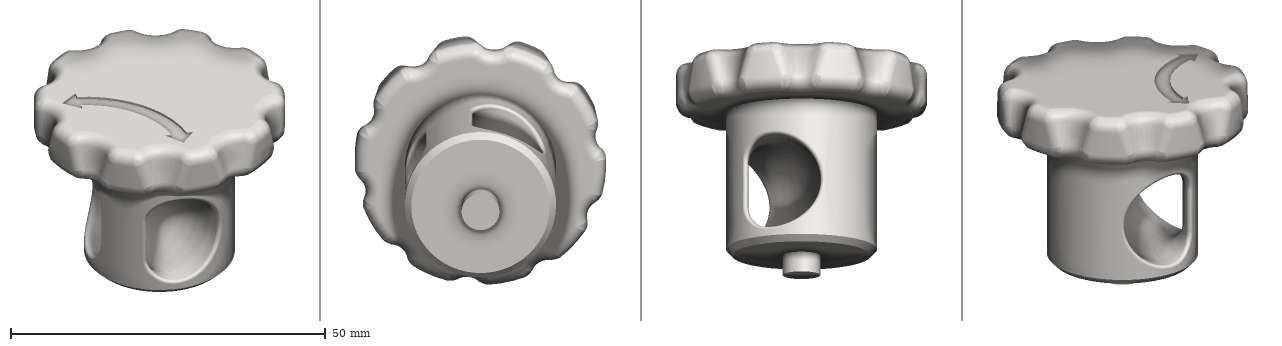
import cadquery as cq
import math

CAP_RADIUS = 20.0
CAP_HEIGHT = 8.0
CAP_FILLET = 2.0
FLUTE_COUNT = 10
FLUTE_AXIS_RADIUS = 21.5
FLUTE_TOP_RADIUS = 4.25
FLUTE_DRAFT = 14.5

STEM_DIAMETER = 24.05
STEM_RADIUS = STEM_DIAMETER / 2
STEM_LENGTH = 23.0
STEM_CHAMFER = 1.0
PIN_DIAMETER = 6.0
PIN_LENGTH = 3.2

SYMMETRY_ANGLE = 255.0

CHANNEL_MID_Z = -13.0
CHANNEL_AXIS_OFFSET = 18.0
CHANNEL_SWEEP_RADIUS = 12.88
CHANNEL_RADIUS = 7.5
CHANNEL_FLAT_OFFSET = 4.48
CHANNEL_CORNER_FILLET = 4.0
CHANNEL_RIM_FILLET = 0.48

ARROW_TIP_RADIUS = 16.0
ARROW_TIP_ANGLE = 45.0
ARROW_HEAD_LENGTH = 2.8
ARROW_HEAD_HALF_WIDTH = 2.3
ARROW_BAND_RADIUS = 16.25
ARROW_BAND_WIDTH = 2.48
ARROW_DEPTH = 0.4

TOLERANCE = 0.005


def turned(shape, angle):
    """The shape turned by an angle in degrees around the Z axis."""
    return shape.rotate((0, 0, 0), (0, 0, 1), angle)


def make_cap():
    """Disc with conical flutes, wider at the top, and all its edges rounded."""
    cap = cq.Workplane("XY").circle(CAP_RADIUS).extrude(CAP_HEIGHT)
    flute_bottom_radius = FLUTE_TOP_RADIUS - CAP_HEIGHT * math.tan(math.radians(FLUTE_DRAFT))
    flute_base = cq.Vector(FLUTE_AXIS_RADIUS, 0, 0)
    flute = cq.Workplane(cq.Solid.makeCone(flute_bottom_radius, FLUTE_TOP_RADIUS, CAP_HEIGHT, flute_base))
    for i in range(FLUTE_COUNT):
        cap = cap.cut(turned(flute, i * 360 / FLUTE_COUNT))
    return cap.edges().fillet(CAP_FILLET)


def make_channel():
    """Ring whose section is a circle with a rounded flat on the side facing the ring axis."""
    flat_x = CHANNEL_SWEEP_RADIUS - CHANNEL_FLAT_OFFSET
    outer_x = CHANNEL_SWEEP_RADIUS + CHANNEL_RADIUS
    centre_distance = CHANNEL_RADIUS - CHANNEL_CORNER_FILLET
    corner_dx = CHANNEL_CORNER_FILLET - CHANNEL_FLAT_OFFSET
    corner_z = math.sqrt(centre_distance**2 - corner_dx**2)
    touch_x = CHANNEL_SWEEP_RADIUS + corner_dx * CHANNEL_RADIUS / centre_distance
    touch_z = corner_z * CHANNEL_RADIUS / centre_distance
    section = (
        cq.Workplane("XZ")
        .moveTo(flat_x, -corner_z)
        .lineTo(flat_x, corner_z)
        .radiusArc((touch_x, touch_z), CHANNEL_CORNER_FILLET)
        .threePointArc((outer_x, 0), (touch_x, -touch_z))
        .radiusArc((flat_x, -corner_z), CHANNEL_CORNER_FILLET)
        .close()
    )
    ring = section.revolve(360, (0, 0), (0, 1))
    ring = ring.translate((CHANNEL_AXIS_OFFSET, 0, CHANNEL_MID_Z))
    return turned(ring, SYMMETRY_ANGLE)


def is_channel_rim(edge):
    """True for an edge on the stem wall that stays within the height of the channel."""
    middle = edge.positionAt(0.5)
    bounds = edge.BoundingBox()
    reach = max(bounds.zmax - CHANNEL_MID_Z, CHANNEL_MID_Z - bounds.zmin)
    on_wall = abs(math.hypot(middle.x, middle.y) - STEM_RADIUS) < TOLERANCE
    return on_wall and reach < CHANNEL_RADIUS + TOLERANCE


def make_stem():
    """Chamfered cylinder crossed by the curved channel, with rounded channel rims."""
    stem = cq.Workplane("XY").circle(STEM_RADIUS).extrude(-STEM_LENGTH)
    stem = stem.faces("<Z").chamfer(STEM_CHAMFER)
    stem = stem.cut(make_channel())
    rim = stem.edges().filter(is_channel_rim)
    return rim.fillet(CHANNEL_RIM_FILLET)


def make_pin():
    """Short pin under the stem."""
    return cq.Workplane("XY", (0, 0, -STEM_LENGTH)).circle(PIN_DIAMETER / 2).extrude(-PIN_LENGTH)


def make_arrow():
    """Arc-shaped band with a triangular head at each end."""
    floor = cq.Workplane("XY", (0, 0, CAP_HEIGHT - ARROW_DEPTH))
    centre_x = ARROW_TIP_RADIUS / math.cos(math.radians(ARROW_TIP_ANGLE))
    inner = ARROW_BAND_RADIUS - ARROW_BAND_WIDTH / 2
    outer = ARROW_BAND_RADIUS + ARROW_BAND_WIDTH / 2
    ring = floor.center(centre_x, 0).circle(outer).circle(inner).extrude(ARROW_DEPTH)

    head_base = ARROW_TIP_RADIUS - ARROW_HEAD_LENGTH
    reach_x = head_base / math.cos(math.radians(ARROW_TIP_ANGLE))
    reach_y = head_base / math.sin(math.radians(ARROW_TIP_ANGLE))
    limits = floor.polyline([(0, -reach_y), (reach_x, 0), (0, reach_y)]).close().extrude(ARROW_DEPTH)
    arrow = ring.intersect(limits)

    head_points = [
        (head_base, -ARROW_HEAD_HALF_WIDTH),
        (ARROW_TIP_RADIUS, 0),
        (head_base, ARROW_HEAD_HALF_WIDTH),
    ]
    head = floor.polyline(head_points).close().extrude(ARROW_DEPTH)
    for angle in (-ARROW_TIP_ANGLE, ARROW_TIP_ANGLE):
        arrow = arrow.union(turned(head, angle))
    return turned(arrow, SYMMETRY_ANGLE)


result = make_cap().union(make_stem()).union(make_pin()).cut(make_arrow())